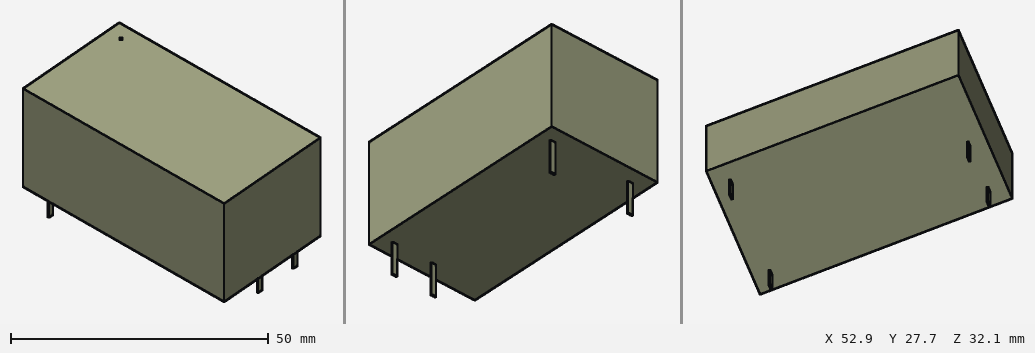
import cadquery as cq

housing_length = 52.9
housing_width = 27.7
total_height = 32.1
pin_length = 7.6
housing_height = total_height - pin_length

pin_thickness = 0.3
pin_width = 1.2
row_spacing = 45.7
pin_pitch = 10.15
row_center_y = 0.25
left_row_x = -row_spacing / 2
right_row_x = row_spacing / 2
front_pin_y = row_center_y - pin_pitch
back_pin_y = row_center_y + pin_pitch

pin_places = [
    (left_row_x, front_pin_y),
    (left_row_x, back_pin_y),
    (right_row_x, row_center_y),
    (right_row_x, back_pin_y),
]

marker_diameter = 0.65
marker_depth = 0.1


def make_marker():
    """Thin disc whose upper face is level with the top of the housing."""
    return (
        cq.Workplane("XY", origin=(left_row_x, back_pin_y, housing_height))
        .circle(marker_diameter / 2)
        .extrude(-marker_depth)
    )


def make_housing(marker):
    """Block with a recess that fits the marker."""
    block = cq.Workplane("XY").box(
        housing_length, housing_width, housing_height, centered=(True, True, False)
    )
    return block.cut(marker)


def make_pin(x, y):
    """Flat pin hanging from the underside of the housing."""
    return (
        cq.Workplane("XY", origin=(x, y, 0))
        .rect(pin_thickness, pin_width)
        .extrude(-pin_length)
    )


marker = make_marker()
housing = make_housing(marker)
pins = [make_pin(x, y) for x, y in pin_places]

result = cq.Compound.makeCompound([housing.val(), marker.val(), *[pin.val() for pin in pins]])